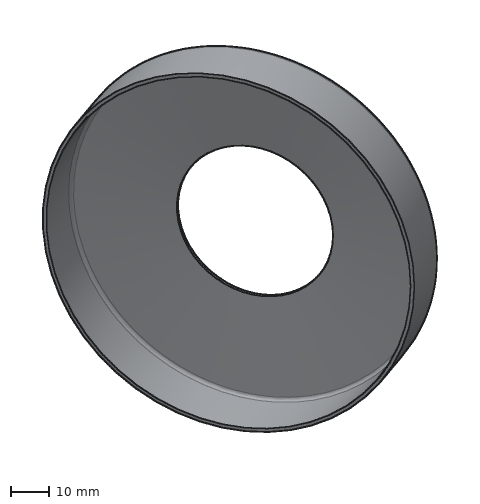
import cadquery as cq

outer_radius = 52.5
hole_radius = 22.0
depth = 20.1
wall = 1.0
cone_rise = 2.1
corner_radius = 2.1
inner_corner_radius = corner_radius - wall

shoulder = depth - cone_rise


def revolved_solid(radius, y_shoulder, y_top, edge_rounding):
    """Solid cylinder with a conical end that reaches y_top at the hole."""
    body = (
        cq.Workplane("XY")
        .moveTo(0, 0)
        .lineTo(radius, 0)
        .lineTo(radius, y_shoulder)
        .lineTo(hole_radius, y_top)
        .lineTo(0, y_top)
        .close()
        .revolve(360, (0, 0, 0), (0, 1, 0))
    )
    corner = cq.selectors.BoxSelector(
        (-radius, y_shoulder - wall / 2, -radius),
        (radius, y_shoulder + wall / 2, radius),
    )
    return body.edges("%CIRCLE").edges(corner).fillet(edge_rounding)


outside = revolved_solid(outer_radius, shoulder, depth, corner_radius)
inside = revolved_solid(outer_radius - wall, shoulder - wall, depth - wall, inner_corner_radius)
hole = cq.Workplane("XZ").circle(hole_radius).extrude(-depth)

result = outside.cut(inside).cut(hole)